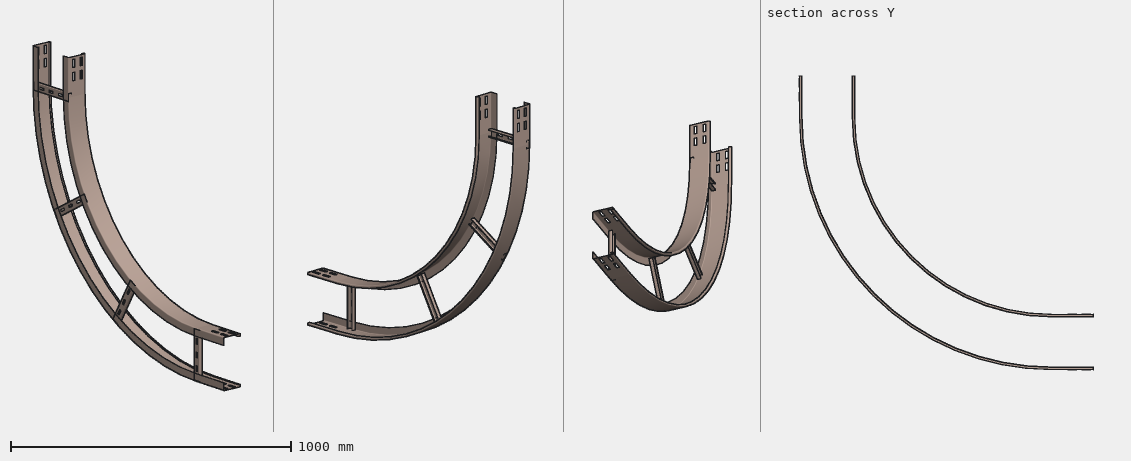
import math

import cadquery as cq


overall_size = 1050
straight_length = 150.0
ladder_width = 200.0
outer_web_radius = overall_size - straight_length
inner_web_radius = outer_web_radius - ladder_width
bend_angle = 90

sheet = 1.6

rail_height = 80.0
front_flange = 30.0
back_flange = 10.0
back_lip = 10.0
rail_bend_radius = 4.0

rail_slot_length = 30.0
rail_slot_width = 9.0
rail_slot_end_distance = 25.0
rail_slot_pitch = 49.0
rail_slot_row_spacing = 35.0
rail_slot_offset = 2.0

rung_count = 4
rung_width = 32.0
rung_depth = 15.0
rung_lip = 5.0
rung_bend_radius = 2.0
rung_slot_count = 3
rung_slot_length = 20.0
rung_slot_width = 7.0
rung_slot_pitch = 50.0

front_face = -rail_height / 2
back_face = rail_height / 2


def rounded_outline(plane, corners):
    """Closed outline through square (x, y, radius) corners; a radius above zero rounds the corner."""
    outline = cq.Workplane(plane)
    for index, (x, y, radius) in enumerate(corners):
        corner = cq.Vector(x, y)
        before = cq.Vector(*corners[index - 1][:2])
        after = cq.Vector(*corners[(index + 1) % len(corners)][:2])
        to_before = (before - corner).normalized() * radius
        to_after = (after - corner).normalized() * radius
        arc_start = corner + to_before
        arc_middle = corner + (to_before + to_after) * (1 - math.sqrt(0.5))
        arc_end = corner + to_after
        draw_to = outline.moveTo if index == 0 else outline.lineTo
        outline = draw_to(arc_start.x, arc_start.y)
        if radius > 0:
            outline = outline.threePointArc((arc_middle.x, arc_middle.y), (arc_end.x, arc_end.y))
    return outline.close()


def rail_section(web_radius, opening):
    """Rail channel section in the XY plane; opening is +1 or -1, the X side it opens to."""
    outside = rail_bend_radius
    inside = rail_bend_radius - sheet
    corners = [
        (0, front_face, outside),
        (front_flange, front_face, 0),
        (front_flange, front_face + sheet, 0),
        (sheet, front_face + sheet, inside),
        (sheet, back_face - sheet, inside),
        (back_flange - sheet, back_face - sheet, inside),
        (back_flange - sheet, back_face - back_lip, 0),
        (back_flange, back_face - back_lip, 0),
        (back_flange, back_face, outside),
        (0, back_face, outside),
    ]
    return rounded_outline("XY", [(-web_radius + opening * depth, y, r) for depth, y, r in corners])


def rail_slots(web_radius):
    """Cutters for the four slots in the web of the upright straight end."""
    first = straight_length - rail_slot_end_distance
    points = [
        (rail_slot_offset + side * rail_slot_row_spacing / 2, first - row * rail_slot_pitch)
        for side in (-1, 1)
        for row in (0, 1)
    ]
    return (
        cq.Workplane("YZ", origin=(-web_radius, 0, 0))
        .pushPoints(points)
        .rect(rail_slot_width, rail_slot_length)
        .extrude(2 * sheet, both=True)
    )


def make_rail(web_radius, opening):
    """One side rail: a quarter-circle bend with a slotted straight stretch at each end."""
    upright = rail_section(web_radius, opening).extrude(straight_length).cut(rail_slots(web_radius))
    level = upright.rotate((0, 0, 0), (0, 1, 0), -bend_angle).mirror("YZ")
    bend = rail_section(web_radius, opening).revolve(bend_angle, (0, 0, 0), (0, -1, 0))
    return bend.union(upright, clean=False).union(level, clean=False)


def make_rung(angle):
    """Slotted lipped channel between the rail webs, against the inside of the front flanges."""
    outside = rung_bend_radius
    inside = rung_bend_radius - sheet
    half = rung_width / 2
    front = front_face + sheet
    back = front + rung_depth
    half_section = [
        (half, front, outside),
        (half, back, outside),
        (half - rung_lip, back, 0),
        (half - rung_lip, back - sheet, 0),
        (half - sheet, back - sheet, inside),
        (half - sheet, front + sheet, inside),
    ]
    mirrored = [(-across, y, r) for across, y, r in reversed(half_section)]
    inner_end = inner_web_radius + rail_bend_radius
    outer_end = outer_web_radius - rail_bend_radius
    section_plane = cq.Plane(origin=(-inner_end, 0, 0), xDir=(0, 0, 1), normal=(-1, 0, 0))
    rung = rounded_outline(section_plane, half_section + mirrored).extrude(outer_end - inner_end)
    slots = (
        cq.Workplane("XZ", origin=(-(inner_end + outer_end) / 2, front, 0))
        .rarray(rung_slot_pitch, 10, rung_slot_count, 1)
        .rect(rung_slot_length, rung_slot_width)
        .extrude(2 * sheet, both=True)
    )
    return rung.cut(slots).rotate((0, 0, 0), (0, 1, 0), -angle)


outer_rail = make_rail(outer_web_radius, 1)
inner_rail = make_rail(inner_web_radius, -1)
rung_spacing = bend_angle / (rung_count - 1)
rungs = [make_rung(index * rung_spacing) for index in range(rung_count)]

result = cq.Compound.makeCompound([outer_rail.val(), inner_rail.val(), *[rung.val() for rung in rungs]])